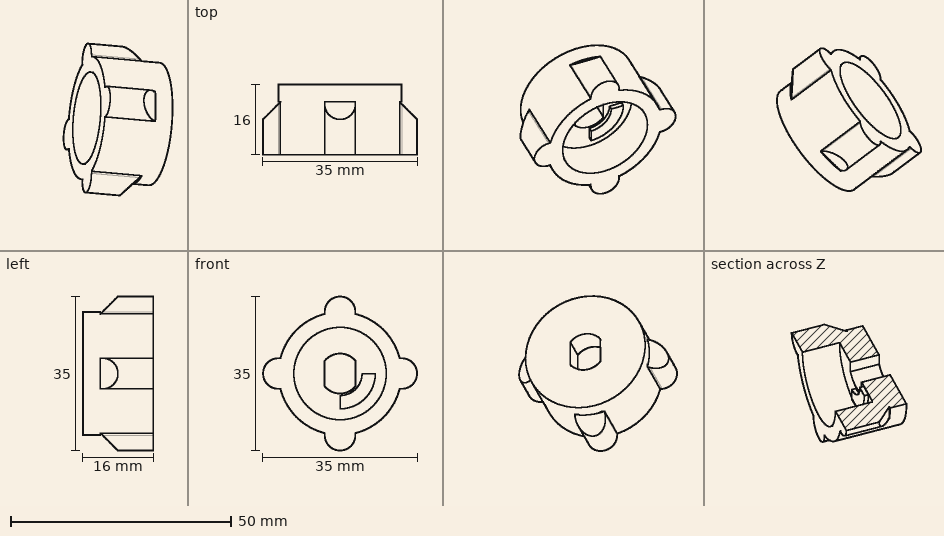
import cadquery as cq

body_radius = 14.0
body_length = 16.0
bore_radius = 10.5
bore_depth = 9.0

lobe_count = 4
lobe_radius = 3.5
lobe_tip_radius = body_radius + lobe_radius
lobe_length = 12.0
lobe_straight_length = 8.0
lobe_slope_run = lobe_length - lobe_straight_length

hole_radius = 4.5
hole_width = 2 * lobe_radius

rib_inner_radius = 5.0
rib_outer_radius = 8.0
rib_height = 1.0


def cylinder(radius, start, length):
    """Cylinder along +Y, starting at the given Y."""
    plane = cq.Workplane("XZ", origin=(0, start, 0))
    return plane.circle(radius).extrude(-length)


def grip_lobe():
    """Round-nosed lobe on the +Z side, with a square rear end."""
    return (
        cq.Workplane("XZ")
        .moveTo(-lobe_radius, bore_radius)
        .lineTo(-lobe_radius, body_radius)
        .threePointArc((0, lobe_tip_radius), (lobe_radius, body_radius))
        .lineTo(lobe_radius, bore_radius)
        .close()
        .extrude(-lobe_length)
    )


def lobe_slope_cutter():
    """Wedge that slopes the lobe's rear end at 45 degrees and nicks the body behind it."""
    return (
        cq.Workplane("YZ")
        .moveTo(lobe_straight_length, lobe_tip_radius)
        .lineTo(lobe_length, lobe_tip_radius)
        .lineTo(lobe_length, lobe_tip_radius - lobe_slope_run)
        .close()
        .extrude(lobe_radius, both=True)
    )


def shaft_hole():
    """Through hole whose sides are cut flat at +X and -X."""
    flats = cq.Workplane("XY").box(hole_width, 2 * body_length, 2 * hole_radius)
    return cylinder(hole_radius, 0, body_length).intersect(flats)


def quarter_rib():
    """Quarter ring in the +X, -Z quadrant, standing on the bore floor."""
    start = bore_depth - rib_height
    ring = cylinder(rib_outer_radius, start, rib_height).cut(
        cylinder(rib_inner_radius, start, rib_height)
    )
    quadrant = cq.Workplane("XY").box(
        rib_outer_radius, body_length, rib_outer_radius, centered=(False, False, False)
    )
    return ring.intersect(quadrant.translate((0, 0, -rib_outer_radius)))


knob = cylinder(body_radius, 0, body_length)
lobe = grip_lobe()
slope_cutter = lobe_slope_cutter()
for index in range(lobe_count):
    angle = index * 360 / lobe_count
    knob = knob.union(lobe.rotate((0, 0, 0), (0, 1, 0), angle))
    knob = knob.cut(slope_cutter.rotate((0, 0, 0), (0, 1, 0), angle))

knob = knob.cut(cylinder(bore_radius, 0, bore_depth))
knob = knob.union(quarter_rib())
result = knob.cut(shaft_hole())